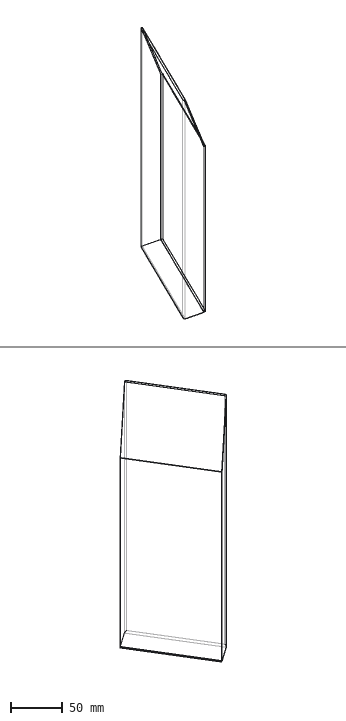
import cadquery as cq

width = 102.0
thickness = 24.2
height = 335.7

edge_radius = 2.0
body_tip_thickness = 1.0
wedge_height = 82.0

back_cover_thickness = 2.0
slope_cover_depth = 1.5
cover_inset = 0.5

body_back_y = thickness - back_cover_thickness
shoulder_z = height - wedge_height
cover_width = width - 2 * cover_inset


def extruded_profile(points, profile_width):
    """Side profile of (Y, Z) points, extruded along X and centred on X = 0."""
    return cq.Workplane("YZ").polyline(points).close().extrude(profile_width / 2, both=True)


def make_body():
    """Bar with rounded front edges (except the top one), cut to a wedge at its upper end."""
    bar = cq.Workplane("XY").box(width, body_back_y, height, centered=(True, False, False))
    rounded_bar = bar.faces("<Y").edges("not >Z").fillet(edge_radius)
    behind_slope = [
        (body_back_y, shoulder_z),
        (body_tip_thickness, height),
        (body_back_y, height),
    ]
    return rounded_bar.cut(extruded_profile(behind_slope, width))


def make_back_cover():
    """Flat plate over the back, from just above the bottom to the shoulder."""
    profile = [
        (body_back_y, cover_inset),
        (thickness, cover_inset),
        (thickness, shoulder_z),
        (body_back_y, shoulder_z),
    ]
    return extruded_profile(profile, cover_width)


def make_slope_cover():
    """Thin sheet over the sloping face, from the shoulder to the tip."""
    profile = [
        (body_back_y, shoulder_z),
        (body_back_y + slope_cover_depth, shoulder_z),
        (body_tip_thickness + slope_cover_depth, height),
        (body_tip_thickness, height),
    ]
    return extruded_profile(profile, cover_width)


result = make_body().union(make_back_cover()).union(make_slope_cover())